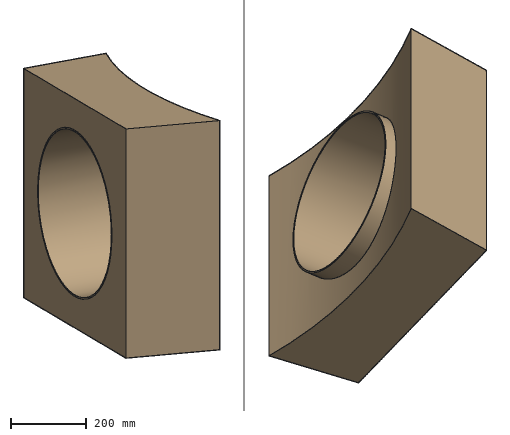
import cadquery as cq

back_width = 700.0
front_width = 630.0
height = 630.0
corner_depth = 257.5
middle_depth = 206.5
tube_length = 260.0
tube_diameter = 457.0
tube_wall = 4.0

tube_radius = tube_diameter / 2
bore_radius = tube_radius - tube_wall


def cylinder_along_y(radius):
    """Cylinder from the front face to the back end of the tube."""
    return cq.Workplane("XZ").circle(radius).extrude(-tube_length)


def make_block():
    """Flared block with a concave back and a round hole for the tube."""
    flared_body = (
        cq.Workplane("XY")
        .moveTo(-front_width / 2, 0)
        .lineTo(front_width / 2, 0)
        .lineTo(back_width / 2, corner_depth)
        .threePointArc((0, middle_depth), (-back_width / 2, corner_depth))
        .close()
        .extrude(height / 2, both=True)
    )
    return flared_body.cut(cylinder_along_y(tube_radius))


def make_tube():
    """Thin tube, flush with the front face and standing out of the hollow back."""
    return cylinder_along_y(tube_radius).cut(cylinder_along_y(bore_radius))


block = make_block()
tube = make_tube()

result = cq.Compound.makeCompound([block.val(), tube.val()])